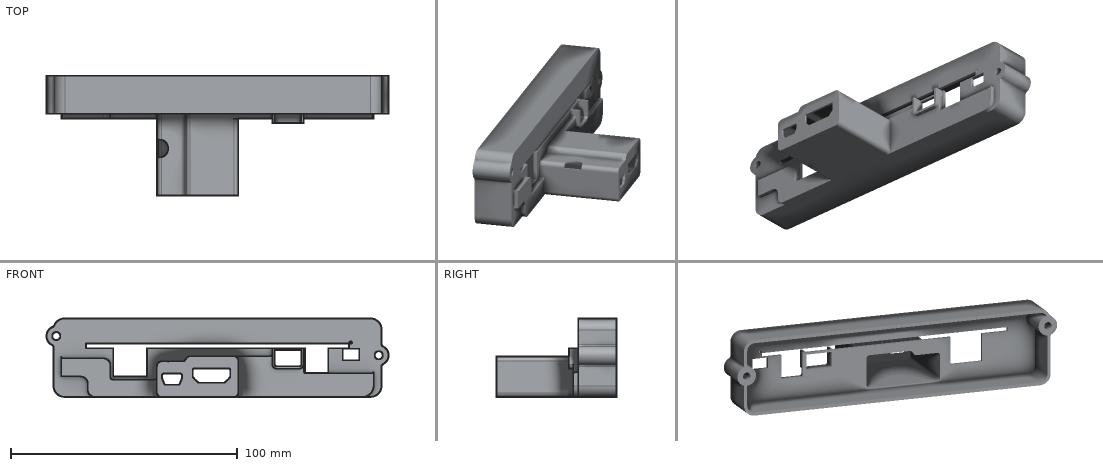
import cadquery as cq
import math


TOTAL_LENGTH = 151.0
SHELL_LENGTH = 144.8
SHELL_HEIGHT = 34.7
SHELL_DEPTH = 16.9
SHELL_CORNER = 5.0
WALL = 1.5
BLEND = 1.0
EAR_RADIUS = 4.4
EAR_X = TOTAL_LENGTH / 2 - EAR_RADIUS
EARS = [(-EAR_X, 26.9), (EAR_X, 18.4)]
SCREW_DIAMETER = 3.5

SLOT_BOTTOM = 21.6
SLOT_TOP = 23.5
SLOT = (-58.0, SLOT_BOTTOM, 58.0, SLOT_TOP)
LEFT_WINDOW = (-45.9, 9.0, -31.1, SLOT_TOP)
RIGHT_WINDOW = (38.8, 10.7, 48.8, SLOT_TOP)
END_WINDOW = (55.3, 16.3, 62.5, 21.3)
PIN_DIAMETER = 1.0
PIN_X = 58.7
PIN_Z = 24.0

RIM_WINDOW = (25.2, 13.6, 37.0, 20.7)
RIM_THICKNESS = 1.0
RIM_PROJECTION = 4.1
RIM_INNER_CORNER = 0.9
RIM_OUTER_CORNER = RIM_INNER_CORNER + RIM_THICKNESS
RIM_LEFT = RIM_WINDOW[0] - RIM_THICKNESS
RIM_BOTTOM = RIM_WINDOW[1] - RIM_THICKNESS
RIM_RIGHT = RIM_WINDOW[2] + RIM_THICKNESS

PLATE_THICKNESS = 2.1
PLATE_LEFT = -69.0
PLATE_RIGHT = 68.9
PLATE_TOP = 18.0
PLATE_END_CORNER = 5.0
PLATE_BEND = 3.2
TAB_BOTTOM = 9.0
TAB_TOP = 17.0
TAB_RIGHT = -47.3
LEFT_LEDGE = 7.7
RIGHT_LEDGE = 10.4
FOOT_X = -57.2
END_LIP = 0.6

HOUSING_LEFT = -26.7
HOUSING_RIGHT = 9.2
HOUSING_LOW_TOP = 15.7
HOUSING_HIGH_TOP = PLATE_TOP
HOUSING_CORNER = 2.0
HOUSING_LENGTH = 36.1
HOUSING_WALL = 0.6
HOUSING_END_WALL = 1.0
HOUSING_FLOOR = 2.4
STEP_TOP_X = -13.1
STEP_BOTTOM_X = -14.8

EDGE_HOLE_RADIUS = 4.0
EDGE_HOLE_X = HOUSING_LEFT + 1.0
EDGE_HOLE_Y = -15.2

SMALL_PORT = {"left": -24.5, "right": -15.7, "top": 10.3, "shoulder": 8.3, "bottom": 5.5, "taper": 1.2}
LARGE_PORT = {"left": -10.9, "right": 5.6, "top": 12.5, "shoulder": 8.8, "bottom": 6.3, "taper": 2.4}
PORT_CORNER = 0.6


def front_sketch(front):
    """Sketch plane at Y = -front, drawn in X and Z; negative extrusions run toward +Y."""
    return cq.Workplane(cq.Plane(origin=(0, -front, 0), xDir=(1, 0, 0), normal=(0, -1, 0)))


def rounded_prism(corners, front, back):
    """Prism from Y = -front to Y = back, with an outline of (x, z, corner radius) points."""
    outline = front_sketch(front)
    for i, (x, z, radius) in enumerate(corners):
        corner = cq.Vector(x, z)
        before = cq.Vector(*corners[i - 1][:2]) - corner
        after = cq.Vector(*corners[(i + 1) % len(corners)][:2]) - corner
        half_angle = before.getAngle(after) / 2
        setback = radius / math.tan(half_angle)
        start = corner + before.normalized() * setback
        outline = outline.moveTo(start.x, start.y) if i == 0 else outline.lineTo(start.x, start.y)
        if radius > 0:
            bisector = (before.normalized() + after.normalized()).normalized()
            middle = corner + bisector * (radius / math.sin(half_angle) - radius)
            end = corner + after.normalized() * setback
            outline = outline.threePointArc((middle.x, middle.y), (end.x, end.y))
    return outline.close().extrude(-(front + back))


def block(region, front, back, bottom_radius=0.0, top_radius=0.0):
    left, bottom, right, top = region
    corners = [
        (left, bottom, bottom_radius),
        (left, top, top_radius),
        (right, top, top_radius),
        (right, bottom, bottom_radius),
    ]
    return rounded_prism(corners, front, back)


def rod(x, z, diameter, back):
    return front_sketch(0).center(x, z).circle(diameter / 2).extrude(-back)


def make_shell():
    half = SHELL_LENGTH / 2
    shell = block((-half, 0, half, SHELL_HEIGHT), 0, SHELL_DEPTH, SHELL_CORNER, SHELL_CORNER)
    ears = [rod(x, z, 2 * EAR_RADIUS, SHELL_DEPTH) for x, z in EARS]
    for ear in ears:
        shell = shell.union(ear)

    for x, z in EARS:
        end = math.copysign(half, x)
        blend_zone = cq.selectors.BoxSelector(
            (end - BLEND, 0, z - EAR_RADIUS),
            (end + BLEND, SHELL_DEPTH, z + EAR_RADIUS),
        )
        shell = shell.edges("|Y").edges(blend_zone).fillet(BLEND)

    inner = (-half + WALL, WALL, half - WALL, SHELL_HEIGHT - WALL)
    inner_corner = SHELL_CORNER - WALL
    cavity = block(inner, -WALL, SHELL_DEPTH, inner_corner, inner_corner)
    for ear in ears:
        cavity = cavity.cut(ear)
    return shell.cut(cavity)


def make_plate():
    """Plate that carries the rim and steps around the windows and the foot of the housing."""
    corners = [
        (PLATE_LEFT, TAB_BOTTOM, 0),
        (PLATE_LEFT, TAB_TOP + END_LIP, 0),
        (PLATE_LEFT + END_LIP, TAB_TOP, 0),
        (TAB_RIGHT, TAB_TOP, PLATE_BEND),
        (TAB_RIGHT, LEFT_LEDGE, BLEND),
        (HOUSING_LEFT, LEFT_LEDGE, BLEND),
        (HOUSING_LEFT, HOUSING_LOW_TOP, HOUSING_CORNER),
        (STEP_BOTTOM_X, HOUSING_LOW_TOP, BLEND),
        (STEP_TOP_X, PLATE_TOP, HOUSING_CORNER),
        (RIM_LEFT, PLATE_TOP, BLEND),
        (RIM_LEFT, SLOT_BOTTOM, 0),
        (RIM_RIGHT, SLOT_BOTTOM, 0),
        (RIM_RIGHT, RIGHT_LEDGE, BLEND),
        (PLATE_RIGHT - END_LIP, RIGHT_LEDGE, 0),
        (PLATE_RIGHT, RIGHT_LEDGE + END_LIP, 0),
        (PLATE_RIGHT, 0, PLATE_END_CORNER),
        (FOOT_X, 0, PLATE_BEND),
        (FOOT_X, TAB_BOTTOM, PLATE_BEND),
    ]
    return rounded_prism(corners, PLATE_THICKNESS, 0)


def make_rim():
    return block((RIM_LEFT, RIM_BOTTOM, RIM_RIGHT, SLOT_BOTTOM), RIM_PROJECTION, 0, RIM_OUTER_CORNER)


def make_rim_opening():
    """Window through the wall, open at the top between the rim's arms in front of the wall."""
    left, bottom, right, _ = RIM_WINDOW
    through_wall = block(RIM_WINDOW, 0, WALL, RIM_INNER_CORNER)
    between_arms = block((left, bottom, right, SLOT_BOTTOM), RIM_PROJECTION, 0, RIM_INNER_CORNER)
    return through_wall.union(between_arms)


def make_housing():
    corners = [
        (HOUSING_LEFT, 0, HOUSING_CORNER),
        (HOUSING_LEFT, HOUSING_LOW_TOP, HOUSING_CORNER),
        (STEP_BOTTOM_X, HOUSING_LOW_TOP, BLEND),
        (STEP_TOP_X, HOUSING_HIGH_TOP, HOUSING_CORNER),
        (HOUSING_RIGHT, HOUSING_HIGH_TOP, HOUSING_CORNER),
        (HOUSING_RIGHT, 0, HOUSING_CORNER),
    ]
    return rounded_prism(corners, HOUSING_LENGTH, 0)


def make_housing_cavity():
    """Space inside the housing, opening through the front wall into the shell."""
    corner = HOUSING_CORNER - HOUSING_WALL
    left = HOUSING_LEFT + HOUSING_WALL
    right = HOUSING_RIGHT - HOUSING_WALL
    low_top = HOUSING_LOW_TOP - HOUSING_WALL
    high_top = HOUSING_HIGH_TOP - HOUSING_WALL
    corners = [
        (left, HOUSING_FLOOR, corner),
        (left, low_top, corner),
        (STEP_BOTTOM_X + HOUSING_WALL, low_top, BLEND),
        (STEP_TOP_X + HOUSING_WALL, high_top, corner),
        (right, high_top, corner),
        (right, HOUSING_FLOOR, corner),
    ]
    return rounded_prism(corners, HOUSING_LENGTH - HOUSING_END_WALL, WALL)


def make_edge_hole():
    """Opening down into the housing, ending where the rounded edge meets the side wall."""
    reach = EDGE_HOLE_X - HOUSING_LEFT
    sketch = cq.Workplane("XY", origin=(EDGE_HOLE_X, EDGE_HOLE_Y, HOUSING_LOW_TOP - HOUSING_CORNER))
    inner_end = sketch.circle(EDGE_HOLE_RADIUS).extrude(HOUSING_CORNER)
    mouth = sketch.center(-reach / 2, 0).rect(reach, 2 * EDGE_HOLE_RADIUS).extrude(HOUSING_CORNER)
    return inner_end.union(mouth)


def make_port(port):
    corners = [
        (port["left"], port["top"], PORT_CORNER),
        (port["right"], port["top"], PORT_CORNER),
        (port["right"], port["shoulder"], PORT_CORNER),
        (port["right"] - port["taper"], port["bottom"], PORT_CORNER),
        (port["left"] + port["taper"], port["bottom"], PORT_CORNER),
        (port["left"], port["shoulder"], PORT_CORNER),
    ]
    return rounded_prism(corners, HOUSING_LENGTH, HOUSING_END_WALL - HOUSING_LENGTH)


result = make_shell().union(make_plate()).union(make_rim()).union(make_housing())
result = result.cut(make_rim_opening()).cut(make_housing_cavity()).cut(make_edge_hole())

for connector in (SMALL_PORT, LARGE_PORT):
    result = result.cut(make_port(connector))

for window in (SLOT, LEFT_WINDOW, RIGHT_WINDOW, END_WINDOW):
    result = result.cut(block(window, 0, WALL))

for ear_x, ear_z in EARS:
    result = result.cut(rod(ear_x, ear_z, SCREW_DIAMETER, SHELL_DEPTH))

result = result.cut(rod(PIN_X, PIN_Z, PIN_DIAMETER, WALL))